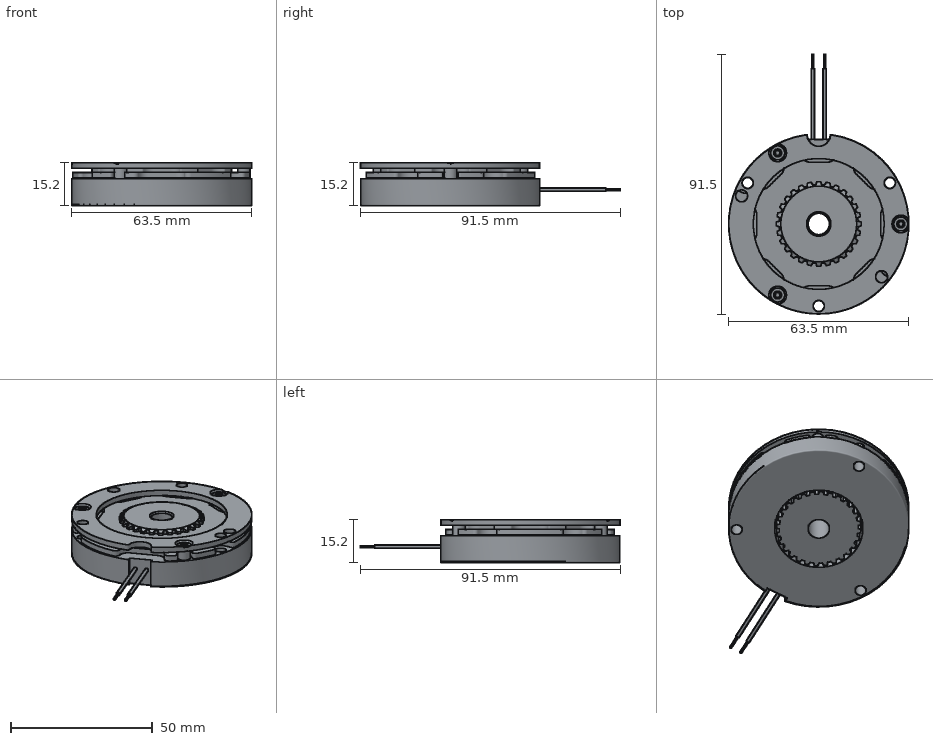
import cadquery as cq
import math


total_height = 15.2
housing_top = 9.6
air_gap = 0.2
armature_top = 11.8
cover_bottom = 13.2
rotor_top = cover_bottom
hub_top = 14.6
hub_bottom = 0

outer_radius = 31.75
bore_radius = 3.75
bolt_circle_radius = 28.9
screw_angles = (0, 120, 240)
mount_angles = (30, 150, 270)
mount_hole_radius = 1.9
lead_angle = 90

housing_edge_radius = 0.5
lead_notch_half_width = 4.0
lead_exit_y = 29.8
lead_spacing = 4.1
lead_height = 5.7
lead_radius = 0.6
conductor_radius = 0.4
overall_length = 91.5
conductor_length = 5.0
conductor_end_y = overall_length - outer_radius
insulation_end_y = conductor_end_y - conductor_length

armature_radius = 31.4
relief_floor_radius = 25.4
wide_relief_angles = (90, 270)
wide_relief_floor = 9.9
wide_relief_corner = 3.2
wide_relief_mouth_fillet = 1.65
narrow_relief_angles = (30, 150, 210, 330)
narrow_relief_corner = 3.9
narrow_relief_mouth_fillet = 1.2
post_relief_radius = 2.65
post_relief_mouth_fillet = 0.9

rotor_radius = 25.6
rotor_recess_count = 8
rotor_recess_floor_radius = 21.8
rotor_recess_floor = 6.2
rotor_recess_corner = 3.4
rotor_recess_mouth_fillet = 0.6
tooth_count = 28
tooth_root_radius = 13.9
tooth_tip_radius = 14.9
tooth_root_width = 2.0
tooth_tip_width = 1.3
tooth_root_overlap = 0.9
hub_face_radius = 13.4
hub_chamfer_drop = 0.7
bore_chamfer = 0.55
hub_clearance_radius = 15.6

cover_opening_radius = 23.1
cover_notch_radius = 4.0
cover_notch_center = 31.4
cover_notch_fillet = 0.8
peep_hole_radius = 2.1
peep_hole_angles = (160, 320)

post_radius = 2.2
shank_radius = 1.5
head_radius = 2.5
head_depth = 0.6
countersink_radius = head_radius + head_depth
socket_mouth_radius = 1.4
socket_mouth_depth = 0.3
socket_radius = 0.8
socket_lobe_radius = 0.3
socket_lobe_count = 6
socket_depth = 0.9

cut_margin = 4.6
edge_pick_reach = 0.2


def polar(radius, angle):
    """Point at a radius and an angle in degrees."""
    return (radius * math.cos(math.radians(angle)), radius * math.sin(math.radians(angle)))


def cylinder(radius, bottom, top):
    """Upright cylinder on the shaft axis between two heights."""
    return cq.Workplane("XY", origin=(0, 0, bottom)).circle(radius).extrude(top - bottom)


def cylinders_on_bolt_circle(radius, bottom, top, angles):
    """Equal upright cylinders on the bolt circle, for cutting."""
    centers = [polar(bolt_circle_radius, angle) for angle in angles]
    plane = cq.Workplane("XY", origin=(0, 0, bottom))
    return plane.pushPoints(centers).circle(radius).extrude(top - bottom)


def rim_recess(floor_radius, floor_width, corner_radius, angle, bottom, top):
    """Cutter open to the rim: a straight floor with a tangent quarter round at each end."""
    half_floor = floor_width / 2
    half_width = half_floor + corner_radius
    mouth = outer_radius + cut_margin
    bend = floor_radius + corner_radius
    arc_in = corner_radius * (1 - math.sqrt(0.5))
    outline = cq.Workplane("XY", origin=(0, 0, bottom)).moveTo(mouth, half_width).lineTo(bend, half_width)
    outline = outline.threePointArc((floor_radius + arc_in, half_width - arc_in), (floor_radius, half_floor))
    if floor_width > 0:
        outline = outline.lineTo(floor_radius, -half_floor)
    outline = outline.threePointArc((floor_radius + arc_in, arc_in - half_width), (bend, -half_width))
    cutter = outline.lineTo(mouth, -half_width).close().extrude(top - bottom)
    return cutter.rotate((0, 0, 0), (0, 0, 1), angle)


def round_mouth(body, rim_radius, half_width, angle, fillet):
    """Rounds the two upright edges where a recess wall meets the rim."""
    rim_distance = math.sqrt(rim_radius**2 - half_width**2)
    for side in (-1, 1):
        spread = math.degrees(math.atan2(side * half_width, rim_distance))
        x, y = polar(rim_radius, angle + spread)
        low_corner = (x - edge_pick_reach, y - edge_pick_reach, 0)
        high_corner = (x + edge_pick_reach, y + edge_pick_reach, total_height)
        body = body.edges(cq.selectors.BoxSelector(low_corner, high_corner)).edges("|Z").fillet(fillet)
    return body


def make_lead(x):
    """Insulated lead with a bare conductor end, running along +Y."""
    start = cq.Workplane("XZ", origin=(x, lead_exit_y, lead_height))
    insulation = start.circle(lead_radius).extrude(lead_exit_y - insulation_end_y)
    conductor = start.circle(conductor_radius).extrude(lead_exit_y - conductor_end_y)
    return insulation.union(conductor)


def make_housing():
    """Round coil housing with a lead notch in its rim and both leads."""
    body = cylinder(outer_radius, 0, housing_top).faces("<Z").edges().fillet(housing_edge_radius)
    body = body.cut(cylinder(hub_clearance_radius, 0, housing_top))
    body = body.cut(cylinders_on_bolt_circle(mount_hole_radius, 0, housing_top, mount_angles))
    notch = cq.Workplane("XY").rect(2 * lead_notch_half_width, 2 * (outer_radius - lead_exit_y))
    notch = notch.extrude(housing_top).translate((0, outer_radius, 0))
    body = body.cut(notch)
    for x in (-lead_spacing / 2, lead_spacing / 2):
        body = body.union(make_lead(x))
    return body


def make_armature():
    """Flat plate with rim reliefs around the posts and mounting holes."""
    bottom = housing_top + air_gap
    body = cylinder(armature_radius, bottom, armature_top)
    body = body.cut(cylinder(hub_clearance_radius, bottom, armature_top))
    post_floor_radius = bolt_circle_radius - post_relief_radius
    wide = (relief_floor_radius, wide_relief_floor, wide_relief_corner, wide_relief_mouth_fillet)
    narrow = (relief_floor_radius, 0, narrow_relief_corner, narrow_relief_mouth_fillet)
    post = (post_floor_radius, 0, post_relief_radius, post_relief_mouth_fillet)
    reliefs = [(wide_relief_angles, *wide), (narrow_relief_angles, *narrow), (screw_angles, *post)]
    for angles, floor_radius, floor_width, corner_radius, fillet in reliefs:
        half_width = floor_width / 2 + corner_radius
        for angle in angles:
            relief = rim_recess(floor_radius, floor_width, corner_radius, angle, bottom, armature_top)
            body = round_mouth(body.cut(relief), armature_radius, half_width, angle, fillet)
    return body


def hub_blank():
    """Hub turned profile with a conical top edge over the teeth."""
    profile = [
        (0, hub_bottom),
        (tooth_tip_radius, hub_bottom),
        (tooth_tip_radius, hub_top - hub_chamfer_drop),
        (hub_face_radius, hub_top),
        (0, hub_top),
    ]
    return cq.Workplane("XZ").polyline(profile).close().revolve(360, (0, 0, 0), (0, 1, 0))


def gear_prism():
    """Root cylinder with tapered teeth, as tall as the hub."""
    gear = cylinder(tooth_root_radius, hub_bottom, hub_top)
    buried_radius = tooth_root_radius - tooth_root_overlap
    tooth_outline = [
        (buried_radius, -tooth_root_width / 2),
        (tooth_root_radius, -tooth_root_width / 2),
        (tooth_tip_radius, -tooth_tip_width / 2),
        (tooth_tip_radius, tooth_tip_width / 2),
        (tooth_root_radius, tooth_root_width / 2),
        (buried_radius, tooth_root_width / 2),
    ]
    tooth = cq.Workplane("XY", origin=(0, 0, hub_bottom)).polyline(tooth_outline).close()
    tooth = tooth.extrude(hub_top - hub_bottom)
    for index in range(tooth_count):
        gear = gear.union(tooth.rotate((0, 0, 0), (0, 0, 1), index * 360 / tooth_count))
    return gear


def make_rotor():
    """Notched friction disc with its toothed hub, which reaches down through the bores below."""
    disc = cylinder(rotor_radius, armature_top, rotor_top)
    half_width = rotor_recess_floor / 2 + rotor_recess_corner
    for index in range(rotor_recess_count):
        angle = index * 360 / rotor_recess_count
        recess = rim_recess(
            rotor_recess_floor_radius,
            rotor_recess_floor,
            rotor_recess_corner,
            angle,
            armature_top,
            rotor_top,
        )
        disc = round_mouth(disc.cut(recess), rotor_radius, half_width, angle, rotor_recess_mouth_fillet)
    body = disc.union(gear_prism().intersect(hub_blank()))
    body = body.cut(cylinder(bore_radius, hub_bottom, hub_top))
    bore_edge = body.faces(">Z").edges("%CIRCLE").edges(cq.selectors.RadiusNthSelector(0))
    return bore_edge.chamfer(bore_chamfer)


def countersunk_hole():
    """Cutter that leaves the 45-degree seat and the shank hole of one screw."""
    seat_bottom = total_height - (countersink_radius - shank_radius)
    profile = [
        (0, cover_bottom),
        (shank_radius, cover_bottom),
        (shank_radius, seat_bottom),
        (countersink_radius, total_height),
        (0, total_height),
    ]
    return cq.Workplane("XZ").polyline(profile).close().revolve(360, (0, 0, 0), (0, 1, 0))


def make_cover():
    """Ring plate with a rim notch, mounting and peep holes and countersunk seats."""
    body = cylinder(outer_radius, cover_bottom, total_height)
    notch_floor = cover_notch_center - cover_notch_radius
    notch = rim_recess(notch_floor, 0, cover_notch_radius, lead_angle, cover_bottom, total_height)
    body = round_mouth(body.cut(notch), outer_radius, cover_notch_radius, lead_angle, cover_notch_fillet)
    body = body.cut(cylinder(cover_opening_radius, cover_bottom, total_height))
    body = body.cut(cylinders_on_bolt_circle(mount_hole_radius, cover_bottom, total_height, mount_angles))
    body = body.cut(cylinders_on_bolt_circle(peep_hole_radius, cover_bottom, total_height, peep_hole_angles))
    for angle in screw_angles:
        body = body.cut(countersunk_hole().translate((*polar(bolt_circle_radius, angle), 0)))
    return body


def make_screw():
    """Spacer post below the cover and a countersunk head with a six-lobe socket."""
    head_top = total_height - head_depth
    body = countersunk_hole().intersect(cylinder(countersink_radius, cover_bottom, head_top))
    body = body.union(cylinder(post_radius, housing_top, cover_bottom))
    socket = cylinder(socket_radius, head_top - socket_depth, head_top)
    lobes = cq.Workplane("XY", origin=(0, 0, head_top - socket_depth))
    lobes = lobes.polarArray(socket_radius, 0, 360, socket_lobe_count).circle(socket_lobe_radius)
    socket = socket.union(lobes.extrude(socket_depth))
    socket_mouth = cylinder(socket_mouth_radius, head_top - socket_mouth_depth, head_top)
    return body.cut(socket).cut(socket_mouth)


housing = make_housing()
armature = make_armature()
rotor = make_rotor()
cover = make_cover()
screws = []
for screw_angle in screw_angles:
    screws.append(make_screw().translate((*polar(bolt_circle_radius, screw_angle), 0)).val())

result = cq.Compound.makeCompound([housing.val(), armature.val(), rotor.val(), cover.val(), *screws])